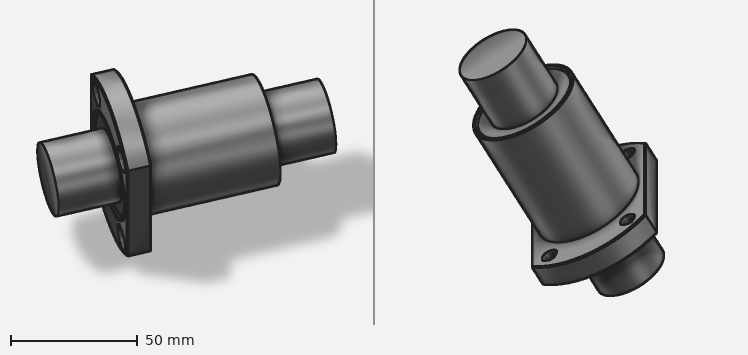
import cadquery as cq

shaft_length = 114.0
shaft_diameter = 30.0
body_length = 64.1
body_diameter = 45.0
flange_diameter = 74.0
flange_width = 51.0
flange_thickness = 10.0
edge_chamfer = 0.5
body_chamfer = 0.2

recess_floor_diameter = 41.4
recess_mouth_diameter = 42.6
recess_depth = 0.9

hole_spacing_x = 35.0
hole_spacing_z = 49.0
hole_diameter = 6.6
counterbore_diameter = 11.0
counterbore_depth = 6.5

front_face = -body_length / 2


def cylinder(diameter, start, length):
    """Cylinder about the Y axis, extending from start toward +Y."""
    plane = cq.Workplane("XZ", origin=(0, start, 0))
    return plane.circle(diameter / 2).extrude(-length)


def make_flange():
    """Round flange with two flat sides, chamfered edges and a central bore."""
    disc = cylinder(flange_diameter, front_face, flange_thickness)
    flats = cq.Workplane("XY").box(flange_width, shaft_length, flange_diameter * 2)
    flange = disc.intersect(flats).faces("<Y or >Y").chamfer(edge_chamfer)
    return flange.cut(cylinder(body_diameter, front_face, flange_thickness))


def make_body():
    """Sleeve with chamfered ends and a shallow conical recess at each end."""
    body = cylinder(body_diameter, front_face, body_length)
    body = body.faces("<Y or >Y").chamfer(body_chamfer)
    half_section = [
        (0, front_face),
        (recess_mouth_diameter / 2, front_face),
        (recess_floor_diameter / 2, front_face + recess_depth),
        (0, front_face + recess_depth),
    ]
    front_recess = cq.Workplane("XY").polyline(half_section).close().revolve(360, (0, 0), (0, 1))
    back_recess = front_recess.mirror("XZ")
    return body.cut(front_recess).cut(back_recess)


def mounting_holes():
    """Through holes with counterbores opening on the front face."""
    holes = cq.Workplane("XZ")
    for x in (-hole_spacing_x / 2, hole_spacing_x / 2):
        for z in (-hole_spacing_z / 2, hole_spacing_z / 2):
            through = cylinder(hole_diameter, front_face, flange_thickness)
            counterbore = cylinder(counterbore_diameter, front_face, counterbore_depth)
            holes = holes.add(through.union(counterbore).translate((x, 0, z)))
    return holes.combine()


shaft = cylinder(shaft_diameter, -shaft_length / 2, shaft_length)
result = make_flange().cut(mounting_holes()).union(make_body()).union(shaft)